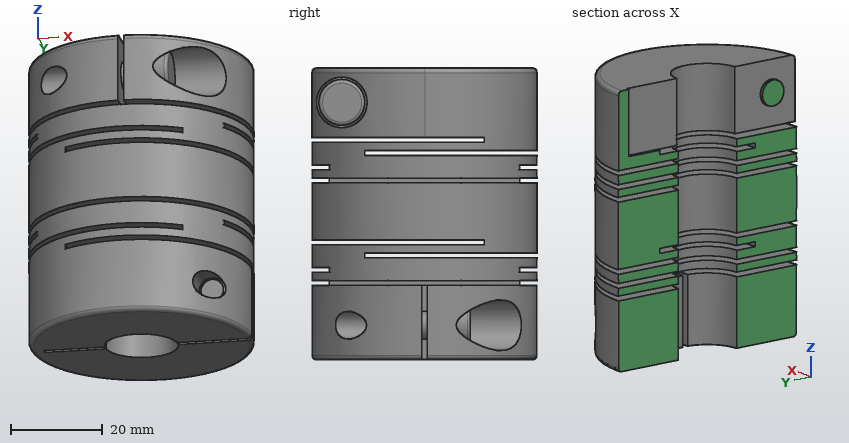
import cadquery as cq


BODY_DIAMETER = 49.0
BODY_LENGTH = 63.5
BORE_DIAMETER = 16.0
RIM_FILLET = 1.0

SLIT_WIDTH = 1.0
SLIT_LAND_OFFSET = 13.0
PAIR_SPACING = 2.85
PAIR_STEP = 6.0
GROUP_SPACING = 22.3
FIRST_SLIT_Z = 47.85

SLOT_WIDTH = 1.3
SLOT_END_OFFSET = 21.5

SCREW_OFFSET = 18.0
SCREW_END_DISTANCE = 7.5
SCREW_DIAMETER = 6.0
SCREW_LENGTH = 16.5
TIP_CHAMFER = 0.5
HEAD_DIAMETER = 10.0
HEAD_HEIGHT = 6.0
HEAD_FILLET = 0.75
COUNTERBORE_DIAMETER = 11.0
COUNTERBORE_FLOOR = 4.0

BODY_RADIUS = BODY_DIAMETER / 2
LAST_SLIT_Z = FIRST_SLIT_Z - GROUP_SPACING - PAIR_STEP - PAIR_SPACING
UPPER_HUB_BOTTOM = FIRST_SLIT_Z + SLIT_WIDTH / 2
LOWER_HUB_TOP = LAST_SLIT_Z - SLIT_WIDTH / 2
LOWER_HUB_TURN = 90

AXIS_START = (0, 0, 0)
AXIS_END = (0, 0, 1)


def make_body():
    """Cylinder with rounded rims and a through bore."""
    body = cq.Workplane("XY").circle(BODY_RADIUS).extrude(BODY_LENGTH)
    body = body.faces("<Z or >Z").edges().fillet(RIM_FILLET)
    return body.cut(cq.Workplane("XY").circle(BORE_DIAMETER / 2).extrude(BODY_LENGTH))


def turned(shape, degrees):
    return shape.rotate(AXIS_START, AXIS_END, degrees)


def make_slit(z, open_direction):
    """Slit open on one side; the direction is in degrees about Z, counted from +X."""
    reach = BODY_RADIUS + SLIT_LAND_OFFSET
    slit = cq.Workplane("XY").box(reach, BODY_DIAMETER, SLIT_WIDTH, centered=(False, True, True))
    return turned(slit.translate((-SLIT_LAND_OFFSET, 0, z)), open_direction)


def make_slits():
    """Two groups of slits, each with a pair across Y above a pair across X."""
    slits = []
    for group in range(2):
        group_z = FIRST_SLIT_Z - group * GROUP_SPACING
        lower_pair_z = group_z - PAIR_STEP
        slits.append(make_slit(group_z, -90))
        slits.append(make_slit(group_z - PAIR_SPACING, 90))
        slits.append(make_slit(lower_pair_z, 180))
        slits.append(make_slit(lower_pair_z - PAIR_SPACING, 0))
    return slits


def make_slot(z_bottom, z_top):
    """Clamping slot of the upper hub: open to -Y, closed on the +Y side."""
    length = BODY_RADIUS + SLOT_END_OFFSET
    slot = cq.Workplane("XY").box(SLOT_WIDTH, length, z_top - z_bottom, centered=(True, False, False))
    return slot.translate((0, -BODY_RADIUS, z_bottom))


def screw_plane(x, z):
    """Workplane across the screw axis, facing +X."""
    return cq.Workplane("YZ", origin=(x, -SCREW_OFFSET, z))


def make_screw_hole(z):
    hole = screw_plane(-BODY_RADIUS, z).circle(SCREW_DIAMETER / 2).extrude(BODY_DIAMETER)
    counterbore = screw_plane(COUNTERBORE_FLOOR, z).circle(COUNTERBORE_DIAMETER / 2).extrude(BODY_RADIUS)
    return hole.union(counterbore)


def make_screw(z):
    """Cap screw along X, its head on the +X side."""
    shank = screw_plane(COUNTERBORE_FLOOR, z).circle(SCREW_DIAMETER / 2).extrude(-SCREW_LENGTH)
    shank = shank.faces("<X").chamfer(TIP_CHAMFER)
    head = screw_plane(COUNTERBORE_FLOOR, z).circle(HEAD_DIAMETER / 2).extrude(HEAD_HEIGHT)
    head = head.faces(">X").edges().fillet(HEAD_FILLET)
    return shank.union(head)


def add_clamp(body, slot_bottom, slot_top, screw_z, turn):
    """Slot, screw hole and screw of one hub."""
    body = body.cut(turned(make_slot(slot_bottom, slot_top), turn))
    body = body.cut(turned(make_screw_hole(screw_z), turn))
    return body.union(turned(make_screw(screw_z), turn))


result = make_body()
for slit in make_slits():
    result = result.cut(slit)
result = add_clamp(result, UPPER_HUB_BOTTOM, BODY_LENGTH, BODY_LENGTH - SCREW_END_DISTANCE, 0)
result = add_clamp(result, 0, LOWER_HUB_TOP, SCREW_END_DISTANCE, LOWER_HUB_TURN)